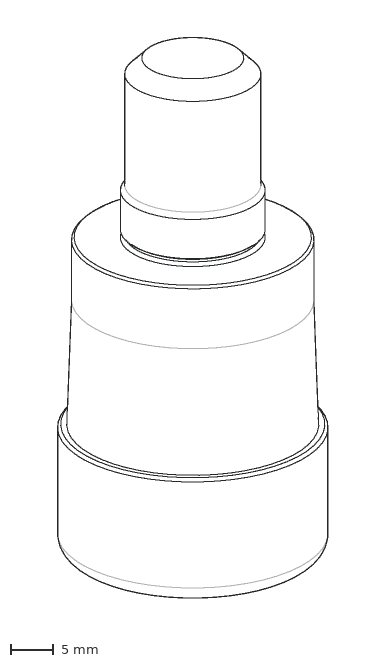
import cadquery as cq
import math

total_height = 63.0
base_radius = 15.9
base_height = 16.0
base_bottom_fillet = 2.0
base_top_chamfer = 0.4

sleeve_radius = 14.25
sleeve_top = 40.0
taper_top = 32.0
draft_angle = math.radians(2)
sleeve_foot_radius = sleeve_radius + (taper_top - base_height) * math.tan(draft_angle)
sleeve_top_chamfer = 0.3

shank_radius = 8.0
collar_radius = 8.5
collar_step = collar_radius - shank_radius
neck_bottom = 40.4
neck_top = 40.7
collar_bottom = 41.0
collar_top = 46.05
relief_radius = 0.75
tip_chamfer = 2.0

relief_angle = math.acos(1 - collar_step / relief_radius)
relief_height = relief_radius * math.sin(relief_angle)
relief_middle_radius = shank_radius + relief_radius * (1 - math.cos(relief_angle / 2))
relief_middle_height = relief_height - relief_radius * math.sin(relief_angle / 2)


def make_base():
    """Round base cap with a rounded bottom edge and a chamfered top edge."""
    disc = cq.Workplane("XY").circle(base_radius).extrude(base_height)
    rounded = disc.faces("<Z").edges().fillet(base_bottom_fillet)
    return rounded.faces(">Z").edges().chamfer(base_top_chamfer)


def make_stud_body():
    """Sleeve and stud revolved together about Z, standing on the base cap."""
    profile = (
        cq.Workplane("XZ")
        .moveTo(0, base_height)
        .lineTo(sleeve_foot_radius, base_height)
        .lineTo(sleeve_radius, taper_top)
        .lineTo(sleeve_radius, sleeve_top - sleeve_top_chamfer)
        .lineTo(sleeve_radius - sleeve_top_chamfer, sleeve_top)
        .lineTo(collar_radius, sleeve_top)
        .lineTo(shank_radius, neck_bottom)
        .lineTo(shank_radius, neck_top)
        .lineTo(collar_radius, collar_bottom)
        .lineTo(collar_radius, collar_top)
        .threePointArc(
            (relief_middle_radius, collar_top + relief_middle_height),
            (shank_radius, collar_top + relief_height),
        )
        .lineTo(shank_radius, total_height - tip_chamfer)
        .lineTo(shank_radius - tip_chamfer, total_height)
        .lineTo(0, total_height)
        .close()
    )
    return profile.revolve(360, (0, 0, 0), (0, 1, 0))


base = make_base()
stud_body = make_stud_body()

result = cq.Compound.makeCompound([base.val(), stud_body.val()])